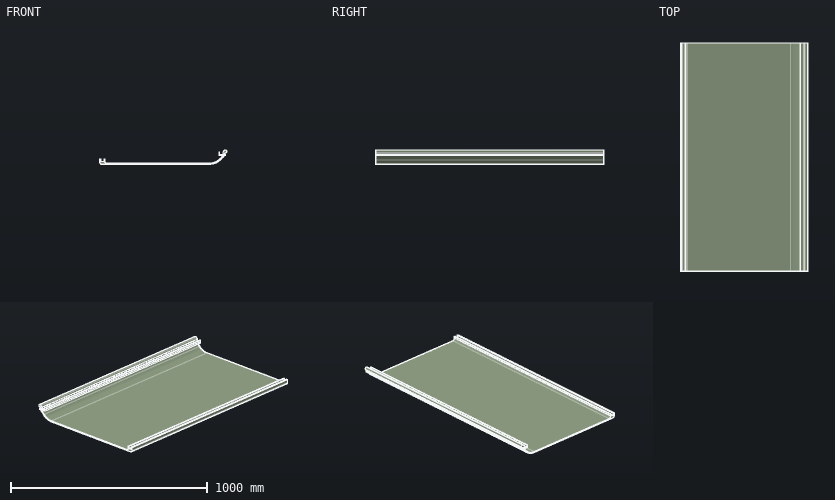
import cadquery as cq
import math

length = 1160.0
width = 646.0
height = 73.0
sheet = 6.0

channel_height = 27.0
channel_floor = 15.0
left_wall = 7.0
right_wall = 5.0
channel_width = 27.0
corner_radius = 10.0
foot_radius = channel_floor - sheet

bend_start = 558.0
bend_radius = 79.0
bend_angle = math.radians(45)
ramp_length = 32.0

bulb_radius = 8.0
bulb_x = width - bulb_radius
bulb_z = height - bulb_radius
hook_x = 605.0
hook_wall = 3.0
hook_top = 61.0
ledge_bottom = 45.0
ledge_top = 51.0
nub_x = 640.0
neck_left = 625.0
neck_right = 631.0


def extrude(outline):
    """Extrude a closed XZ outline along the panel, centred on Y = 0."""
    return outline.extrude(length / 2, both=True)


def bar(x_min, x_max, z_min, z_max):
    """Full-length bar with a rectangular section."""
    outline = cq.Workplane("XZ").moveTo(x_min, z_min).lineTo(x_max, z_min)
    return extrude(outline.lineTo(x_max, z_max).lineTo(x_min, z_max).close())


def bend_point(radius, angle):
    """Point on the bend, with the angle measured from straight down."""
    x = bend_start + radius * math.sin(angle)
    z = bend_radius - radius * math.cos(angle)
    return x, z


def panel():
    """Left channel, flat sheet, bend and ramp as one outline."""
    inner_radius = bend_radius - sheet
    ramp_x = ramp_length * math.cos(bend_angle)
    ramp_z = ramp_length * math.sin(bend_angle)
    inner_end_x, inner_end_z = bend_point(inner_radius, bend_angle)
    return extrude(
        cq.Workplane("XZ")
        .moveTo(corner_radius, 0)
        .lineTo(bend_start, 0)
        .threePointArc(bend_point(bend_radius, bend_angle / 2), bend_point(bend_radius, bend_angle))
        .line(ramp_x, ramp_z)
        .lineTo(inner_end_x + ramp_x, inner_end_z + ramp_z)
        .lineTo(inner_end_x, inner_end_z)
        .threePointArc(bend_point(inner_radius, bend_angle / 2), (bend_start, sheet))
        .lineTo(channel_width + foot_radius, sheet)
        .radiusArc((channel_width, channel_floor), foot_radius)
        .lineTo(channel_width, channel_height)
        .lineTo(channel_width - right_wall, channel_height)
        .lineTo(channel_width - right_wall, channel_floor)
        .lineTo(left_wall, channel_floor)
        .lineTo(left_wall, channel_height)
        .lineTo(0, channel_height)
        .lineTo(0, corner_radius)
        .radiusArc((corner_radius, 0), -corner_radius)
        .close()
    )


def head():
    """Ledge with an upturned hook, and a neck carrying a round bulb."""
    ledge = bar(hook_x, nub_x, ledge_bottom, ledge_top)
    hook = bar(hook_x, hook_x + hook_wall, ledge_bottom, hook_top)
    diagonal = bulb_radius * math.sqrt(0.5)
    neck = extrude(
        cq.Workplane("XZ")
        .moveTo(neck_left, ledge_bottom)
        .lineTo(neck_right, ledge_bottom)
        .lineTo(neck_right, ledge_top)
        .lineTo(bulb_x, bulb_z - bulb_radius)
        .lineTo(bulb_x, bulb_z)
        .lineTo(bulb_x - diagonal, bulb_z + diagonal)
        .lineTo(neck_left, hook_top)
        .close()
    )
    bulb = extrude(cq.Workplane("XZ").center(bulb_x, bulb_z).circle(bulb_radius))
    return ledge.union(hook).union(neck).union(bulb)


result = panel().union(head())